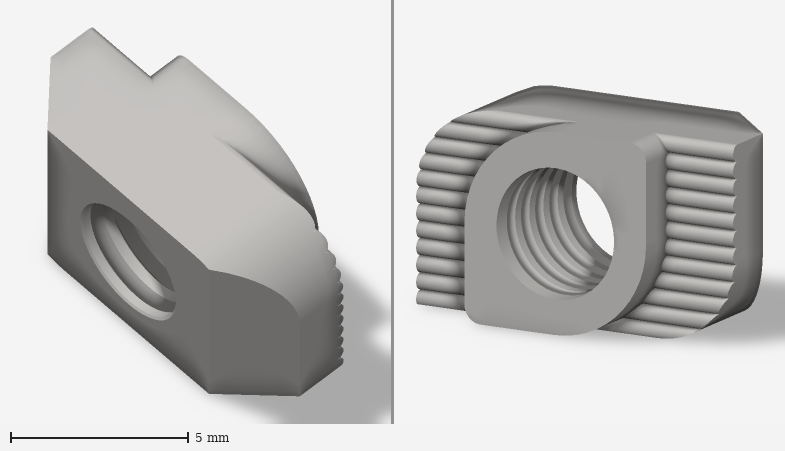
import cadquery as cq
import math

length = 10.3
height = 5.9
depth = 4.6
corner_radius = 2.5
front_chamfer = 1.81

neck_height = 1.1
neck_small_radius = 0.53
neck_large_radius = 3.0

ridge_pitch = 0.501
ridge_radius = ridge_pitch / 2
ridge_count = 12
ridge_crest_y = depth - neck_height
ridge_valley_y = ridge_crest_y - ridge_radius

bore_diameter = 3.82
mouth_chamfer = 0.06
thread_pitch = 0.8
thread_crest_width = 0.33
groove_width = thread_pitch - thread_crest_width
groove_depth = groove_width / 2 / math.tan(math.radians(30))
groove_count = int(depth / thread_pitch)


def upright_block(width, y_start, y_end):
    """Rectangular block centred on the bore, between two Y positions."""
    block = cq.Workplane("XY").box(width, y_end - y_start, height, centered=(True, False, True))
    return block.translate((0, y_start, 0))


def round_corner_pair(block, radius, upper_side):
    """Round one upper Y edge and the diagonally opposite lower one.

    upper_side is +1 to start at upper right, -1 to start at upper left.
    """
    def is_on_diagonal(edge):
        center = edge.Center()
        return center.x * center.z * upper_side > 0

    edges = block.edges("|Y").filter(is_on_diagonal)
    return edges.fillet(radius)


def make_shoulders():
    """Main block with the front chamfers and the ridged back."""
    block = round_corner_pair(upright_block(length, 0, ridge_crest_y), corner_radius, 1)
    half = length / 2
    plan = (
        cq.Workplane("XY")
        .moveTo(-half + front_chamfer, 0)
        .lineTo(half - front_chamfer, 0)
        .lineTo(half, front_chamfer)
        .lineTo(half, ridge_crest_y)
        .lineTo(-half, ridge_crest_y)
        .lineTo(-half, front_chamfer)
        .close()
        .extrude(height / 2, both=True)
    )
    top = height / 2
    bottom = top - ridge_count * ridge_pitch
    ridges = cq.Workplane("YZ").moveTo(0, bottom).lineTo(0, top).lineTo(ridge_valley_y, top)
    for index in range(ridge_count):
        upper = top - index * ridge_pitch
        ridges = ridges.threePointArc(
            (ridge_crest_y, upper - ridge_radius),
            (ridge_valley_y, upper - ridge_pitch),
        )
    ridges = ridges.close().extrude(half, both=True)
    return block.intersect(plan).intersect(ridges)


def make_neck():
    """Square neck rooted below the ridge valleys."""
    neck = upright_block(height, front_chamfer, depth)
    neck = round_corner_pair(neck, neck_large_radius, 1)
    return round_corner_pair(neck, neck_small_radius, -1)


def make_bore():
    """Bore with a chamfered front mouth and thread grooves, each behind a flat crest."""
    radius = bore_diameter / 2
    profile = cq.Workplane("XY").lineTo(radius + mouth_chamfer, 0).lineTo(radius, mouth_chamfer)
    for index in range(groove_count):
        groove_start = thread_crest_width + index * thread_pitch
        profile = (
            profile.lineTo(radius, groove_start)
            .lineTo(radius + groove_depth, groove_start + groove_width / 2)
            .lineTo(radius, groove_start + groove_width)
        )
    profile = profile.lineTo(radius, depth).lineTo(0, depth).close()
    return profile.revolve(360, (0, 0, 0), (0, 1, 0))


result = make_shoulders().union(make_neck()).cut(make_bore())